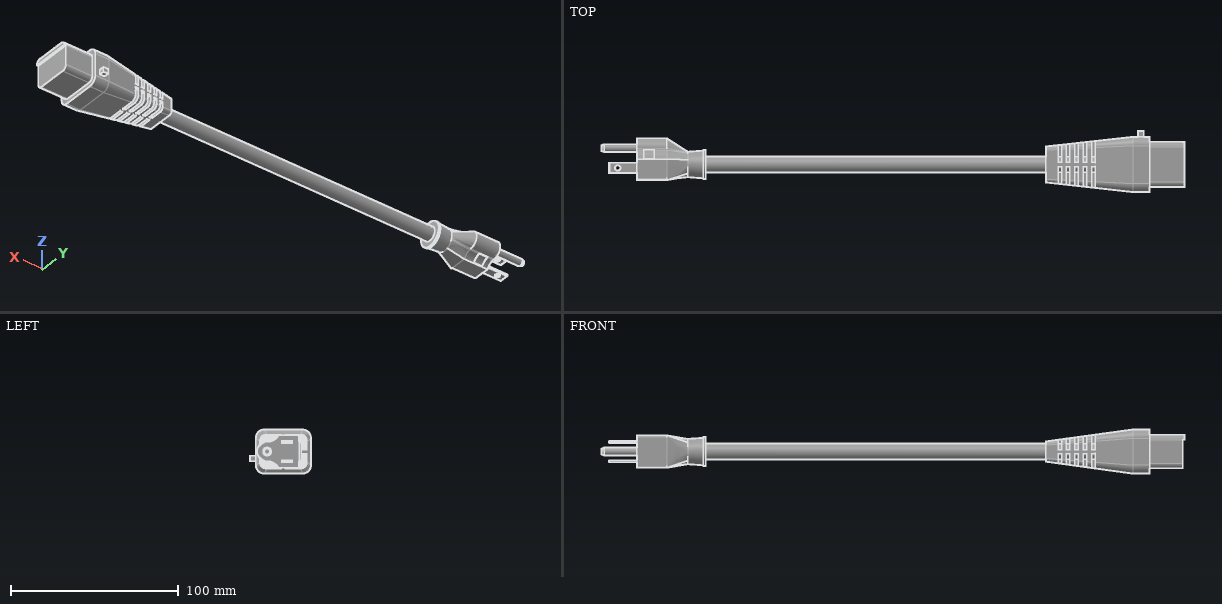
import cadquery as cq
import math


LENGTH = 348.0

PLUG_FACE_X = 21.2
PLUG_BODY_END_X = 39.0
PLUG_TAPER_END_X = 51.5
PLUG_END_X = 62.3
PLUG_HALF_HEIGHT = 9.7
PLUG_BOTTOM_Y = -9.5
PLUG_SHOULDER_Y = 3.0
VALLEY_MIDDLE_Y = 5.5
VALLEY_MIDDLE_Z = 7.3
VALLEY_END_Y = 8.7
VALLEY_RECESS_X = 25.5
VALLEY_RECESS_END_X = 31.7
VALLEY_RECESS_DEPTH = 0.5
PLUG_EDGE_FILLET = 1.0
GROUND_Y = 9.7
GROUND_BOSS_RADIUS = 6.0
BOSS_BLEND_ANGLE = 20
NECK_BLEND_ANGLE = 25
SHOULDER_BLEND_ANGLE = 68
CORNER_BLEND_ANGLE = 135
SLEEVE_RADIUS = 7.5
SLEEVE_FLARE_RADIUS = 8.5
SLEEVE_FLANGE_RADIUS = 8.7
SLEEVE_FLANGE_LENGTH = 1.5

GROUND_PIN_RADIUS = 2.5
GROUND_TIP_LENGTH = 1.7
GROUND_TIP_TAPER = 0.7
BLADE_TIP_X = 4.5
BLADE_Y = -2.0
BLADE_SPACING = 11.5
BLADE_WIDTH = 6.3
BLADE_THICKNESS = 1.5
BLADE_TIP_CHAMFER = 0.5
BLADE_HOLE_X = 9.7
BLADE_HOLE_DIAMETER = 3.0

CORD_RADIUS = 5.0

CONNECTOR_X = 265.2
COLLAR_X = 317.0
COLLAR_END_X = 327.2
TAIL_WIDTH = 21.5
TAIL_HEIGHT = 12.2
TAIL_FILLET = 2.0
COLLAR_WIDTH = 33.0
COLLAR_HEIGHT = 26.5
COLLAR_FILLET = 5.2
NOSE_WIDTH = 27.0
NOSE_HEIGHT = 20.2
NOSE_FILLET = 3.0
LIP_LENGTH = 1.0

GROOVE_COUNT = 5
GROOVE_X = 272.5
GROOVE_SPAN = 20.2
GROOVE_PITCH = GROOVE_SPAN / (GROOVE_COUNT - 1)
GROOVE_WIDTH = 2.0
SPINE_WIDTH = 2.5
CORD_END_X = GROOVE_X + GROOVE_SPAN + GROOVE_WIDTH

BUTTON_X = 322.0
BUTTON_Z = -4.2
BUTTON_SIZE = 3.5
BUTTON_HEIGHT = 3.5


def section(x):
    """Sketch plane across the cord at x, with local axes along Y and Z."""
    return cq.Workplane("YZ", origin=(x, 0, 0))


def rounded_bar(x_start, x_end, width, height, fillet):
    bar = section(x_start).rect(width, height).extrude(x_end - x_start)
    return bar.edges("|X").fillet(fillet)


def plug_outline():
    """Box around the blades, joined by a hollowed valley on each side to a boss around the ground pin."""
    return (
        section(PLUG_FACE_X)
        .moveTo(PLUG_BOTTOM_Y, -PLUG_HALF_HEIGHT)
        .lineTo(PLUG_SHOULDER_Y, -PLUG_HALF_HEIGHT)
        .threePointArc((VALLEY_MIDDLE_Y, -VALLEY_MIDDLE_Z), (VALLEY_END_Y, -GROUND_BOSS_RADIUS))
        .lineTo(GROUND_Y, -GROUND_BOSS_RADIUS)
        .threePointArc((GROUND_Y + GROUND_BOSS_RADIUS, 0), (GROUND_Y, GROUND_BOSS_RADIUS))
        .lineTo(VALLEY_END_Y, GROUND_BOSS_RADIUS)
        .threePointArc((VALLEY_MIDDLE_Y, VALLEY_MIDDLE_Z), (PLUG_SHOULDER_Y, PLUG_HALF_HEIGHT))
        .lineTo(PLUG_BOTTOM_Y, PLUG_HALF_HEIGHT)
        .close()
    )


def valley_recess():
    """Shallow step that follows the curve of the upper valley."""
    return (
        section(VALLEY_RECESS_X)
        .moveTo(PLUG_SHOULDER_Y, PLUG_HALF_HEIGHT)
        .threePointArc((VALLEY_MIDDLE_Y, VALLEY_MIDDLE_Z), (VALLEY_END_Y, GROUND_BOSS_RADIUS))
        .lineTo(VALLEY_END_Y, PLUG_HALF_HEIGHT)
        .close()
        .extrude(VALLEY_RECESS_END_X - VALLEY_RECESS_X)
        .translate((0, 0, -VALLEY_RECESS_DEPTH))
    )


def plug_body():
    body = plug_outline().extrude(PLUG_BODY_END_X - PLUG_FACE_X)
    body = body.edges("|X and <Y").fillet(PLUG_EDGE_FILLET)
    recess = valley_recess()
    return body.cut(recess).cut(recess.mirror("XY"))


def sleeve_point(angle):
    """Point on the sleeve's circle at an angle in degrees from +Y toward +Z."""
    turn = math.radians(angle)
    return (SLEEVE_RADIUS * math.cos(turn), SLEEVE_RADIUS * math.sin(turn))


def sleeve_outline():
    """The sleeve's circle, split into one arc for each edge of the plug outline."""
    upper = [BOSS_BLEND_ANGLE, NECK_BLEND_ANGLE, SHOULDER_BLEND_ANGLE, CORNER_BLEND_ANGLE]
    angles = [-angle for angle in reversed(upper)] + upper + [360 - CORNER_BLEND_ANGLE]
    outline = section(PLUG_TAPER_END_X).moveTo(*sleeve_point(angles[0]))
    for start, end in zip(angles, angles[1:]):
        outline = outline.threePointArc(sleeve_point((start + end) / 2), sleeve_point(end))
    return outline.close()


def plug_taper():
    """Straight-ruled blend from the plug outline to the round sleeve."""
    wide_end = plug_outline().translate((PLUG_BODY_END_X - PLUG_FACE_X, 0, 0)).val()
    return cq.Workplane(cq.Solid.makeLoft([wide_end, sleeve_outline().val()], True))


def plug_sleeve():
    flange_x = PLUG_END_X - SLEEVE_FLANGE_LENGTH
    return (
        cq.Workplane("XY")
        .moveTo(PLUG_TAPER_END_X, 0)
        .lineTo(PLUG_TAPER_END_X, SLEEVE_RADIUS)
        .lineTo(flange_x, SLEEVE_FLARE_RADIUS)
        .lineTo(flange_x, SLEEVE_FLANGE_RADIUS)
        .lineTo(PLUG_END_X, SLEEVE_FLANGE_RADIUS)
        .lineTo(PLUG_END_X, 0)
        .close()
        .revolve(360, (0, 0, 0), (1, 0, 0))
    )


def ground_pin():
    pin = section(0).center(GROUND_Y, 0).circle(GROUND_PIN_RADIUS).extrude(PLUG_FACE_X)
    return pin.faces("<X").chamfer(GROUND_TIP_LENGTH, GROUND_TIP_TAPER)


def blade(z):
    length = PLUG_FACE_X - BLADE_TIP_X
    flat = section(BLADE_TIP_X).center(BLADE_Y, z).rect(BLADE_WIDTH, BLADE_THICKNESS).extrude(length)
    hole = (
        cq.Workplane("XY", origin=(BLADE_HOLE_X, BLADE_Y, z))
        .circle(BLADE_HOLE_DIAMETER / 2)
        .extrude(BLADE_THICKNESS, both=True)
    )
    return flat.faces("<X").edges("|Y").chamfer(BLADE_TIP_CHAMFER).cut(hole)


def make_plug():
    plug = plug_body().union(plug_taper()).union(plug_sleeve()).union(ground_pin())
    for z in (-BLADE_SPACING / 2, BLADE_SPACING / 2):
        plug = plug.union(blade(z))
    return plug


def make_cord():
    """Runs from the plug's end into the connector, as far as the end of its last groove."""
    return section(PLUG_END_X).circle(CORD_RADIUS).extrude(CORD_END_X - PLUG_END_X)


def rounded_outline(width, height, fillet):
    return cq.Sketch().rect(width, height).vertices().fillet(fillet)


def strain_relief_cone():
    return (
        section(CONNECTOR_X)
        .placeSketch(
            rounded_outline(TAIL_WIDTH, TAIL_HEIGHT, TAIL_FILLET),
            rounded_outline(COLLAR_WIDTH, COLLAR_HEIGHT, COLLAR_FILLET).moved(
                cq.Location(cq.Vector(0, 0, COLLAR_X - CONNECTOR_X))
            ),
        )
        .loft()
    )


def strain_relief_grooves():
    """Slots around the cord, leaving one spine in the middle of each of the four sides."""
    slot = section(0).rect(COLLAR_WIDTH, COLLAR_HEIGHT).extrude(GROOVE_WIDTH)
    for width, height in ((COLLAR_WIDTH, SPINE_WIDTH), (SPINE_WIDTH, COLLAR_HEIGHT)):
        slot = slot.cut(section(0).rect(width, height).extrude(GROOVE_WIDTH))
    grooves = cq.Workplane("XY")
    for i in range(GROOVE_COUNT):
        grooves = grooves.add(slot.translate((GROOVE_X + i * GROOVE_PITCH, 0, 0)))
    return grooves.combine()


def nose_lip():
    """Thin rim at the nose's end, along the rounded part of its top edge."""
    rim = rounded_bar(COLLAR_END_X, LENGTH, NOSE_WIDTH, NOSE_HEIGHT, NOSE_FILLET)
    keep = (
        section(LENGTH - LIP_LENGTH)
        .center(0, (NOSE_HEIGHT - NOSE_FILLET) / 2)
        .rect(NOSE_WIDTH, NOSE_FILLET)
        .extrude(LIP_LENGTH)
    )
    return rim.intersect(keep)


def make_connector():
    collar = rounded_bar(COLLAR_X, COLLAR_END_X, COLLAR_WIDTH, COLLAR_HEIGHT, COLLAR_FILLET)
    nose = rounded_bar(COLLAR_END_X, LENGTH - LIP_LENGTH, NOSE_WIDTH, NOSE_HEIGHT, NOSE_FILLET)
    cord_hole = section(CONNECTOR_X).circle(CORD_RADIUS).extrude(CORD_END_X - CONNECTOR_X)
    connector = strain_relief_cone().cut(strain_relief_grooves()).union(collar)
    return connector.union(nose).union(nose_lip()).cut(cord_hole)


def make_button():
    return cq.Workplane("XY").box(BUTTON_SIZE, BUTTON_HEIGHT, BUTTON_SIZE).translate(
        (BUTTON_X, (COLLAR_WIDTH + BUTTON_HEIGHT) / 2, BUTTON_Z)
    )


plug = make_plug()
cord = make_cord()
connector = make_connector()
button = make_button()

result = cq.Compound.makeCompound([plug.val(), cord.val(), connector.val(), button.val()])